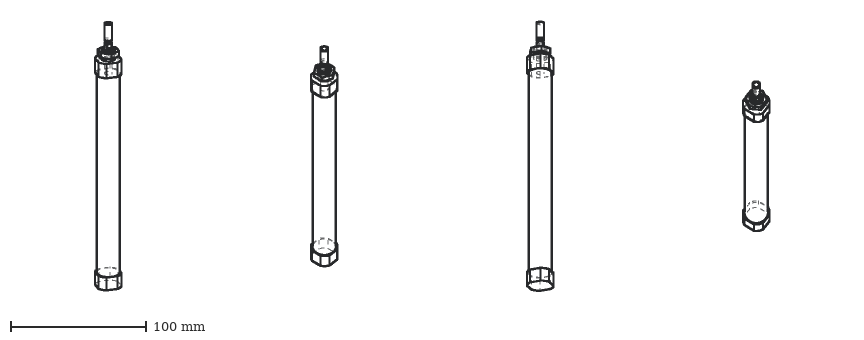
import cadquery as cq
import math

total_height = 211.0
rear_cap_height = 10.3
front_cap_bottom = 170.8
front_cap_top = 182.4
nose_top = 190.5

cap_width = 18.0
cap_corner_diameter = 19.8
tube_diameter = 17.3
nose_diameter = 10.0
nose_tip_diameter = 8.5
relief_diameter = 8.9
relief_bottom = 184.3

nut_bottom = 185.1
nut_height = 4.2
nut_across_flats = 14.1
nut_face_diameter = 14.0
nut_chamfer_angle = math.radians(15)

rod_diameter = 6.0
thread_end_bottom = 196.7
thread_runout_height = 1.3
rod_tip_diameter = 4.2
rod_tip_height = 0.5
neck_diameter = 4.9
neck_bottom = 195.3
wrench_width = 4.9
wrench_flat_bottom = 192.0
wrench_runout_bottom = 191.7


def cylinder(diameter, bottom, top):
    return cq.Workplane("XY").workplane(offset=bottom).circle(diameter / 2).extrude(top - bottom)


def end_cap(bottom, top):
    """Round blank cut to a square, leaving rounded corners."""
    blank = cylinder(cap_corner_diameter, bottom, top)
    square = (
        cq.Workplane("XY").workplane(offset=bottom).rect(cap_width, cap_width).extrude(top - bottom)
    )
    return blank.intersect(square)


def make_housing():
    """Tube, two end caps and the threaded nose, with a bore for the rod."""
    tip_chamfer = (nose_diameter - nose_tip_diameter) / 2
    nose = cylinder(nose_diameter, front_cap_top, nose_top).faces(">Z").chamfer(tip_chamfer)
    relief_profile = [
        (nose_diameter / 2, relief_bottom),
        (relief_diameter / 2, nut_bottom),
        (nose_diameter / 2, nut_bottom),
    ]
    relief = cq.Workplane("XZ").polyline(relief_profile).close().revolve(360, (0, 0), (0, 1))
    rod_bore = cylinder(rod_diameter, front_cap_bottom, nose_top)
    return (
        end_cap(0, rear_cap_height)
        .union(cylinder(tube_diameter, rear_cap_height, front_cap_bottom))
        .union(end_cap(front_cap_bottom, front_cap_top))
        .union(nose)
        .cut(relief)
        .cut(rod_bore)
    )


def make_nut():
    """Hexagonal nut with two corners on the X axis, chamfered corners and a bore for the nose."""
    across_corners = nut_across_flats / math.cos(math.pi / 6)
    hexagon = (
        cq.Workplane("XY").workplane(offset=nut_bottom).polygon(6, across_corners).extrude(nut_height)
    )
    chamfer_width = (across_corners - nut_face_diameter) / 2
    chamfer_height = chamfer_width * math.tan(nut_chamfer_angle)
    corner_trimmer = (
        cylinder(across_corners, nut_bottom, nut_bottom + nut_height)
        .edges()
        .chamfer(chamfer_height, chamfer_width)
    )
    hexagon = hexagon.intersect(corner_trimmer)
    return hexagon.cut(cylinder(nose_diameter, nut_bottom, nut_bottom + nut_height))


def make_rod():
    """Rod with a threaded end tapered at both ends, a neck and two wrench flats facing X."""
    shank = cylinder(rod_diameter, front_cap_bottom, neck_bottom)
    neck_step = (rod_diameter - neck_diameter) / 2
    shank = shank.faces(">Z").chamfer(neck_step)
    neck = cylinder(neck_diameter, neck_bottom, thread_end_bottom)
    threaded_end = cylinder(rod_diameter, thread_end_bottom, total_height)
    tip_width = (rod_diameter - rod_tip_diameter) / 2
    threaded_end = threaded_end.faces(">Z").edges().chamfer(rod_tip_height, tip_width)
    threaded_end = threaded_end.faces("<Z").edges().chamfer(thread_runout_height, neck_step)
    rod = shank.union(neck).union(threaded_end)

    flat_x = wrench_width / 2
    rod_radius = rod_diameter / 2
    flat_profile = [
        (flat_x, neck_bottom),
        (flat_x, wrench_flat_bottom),
        (rod_radius, wrench_runout_bottom),
        (rod_radius, neck_bottom),
    ]
    flat_cutter = cq.Workplane("XZ").polyline(flat_profile).close().extrude(rod_radius, both=True)
    for angle in (0, 180):
        rod = rod.cut(flat_cutter.rotate((0, 0, 0), (0, 0, 1), angle))
    return rod


housing = make_housing()
nut = make_nut()
rod = make_rod()

result = cq.Compound.makeCompound([housing.val(), nut.val(), rod.val()])